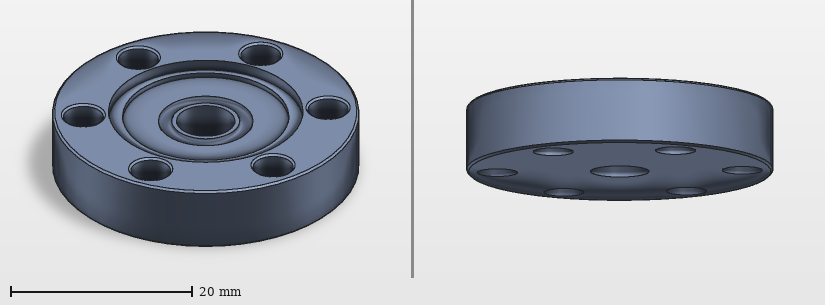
import cadquery as cq
import math

flange_diameter = 33.78
flange_thickness = 7.23
rim_chamfer = 0.25

recess_radius = 10.7
recess_depth = 1.25
knife_radius = 9.15
knife_angle = 20.0

bore_radius = 3.2
groove_inner_radius = 3.75
groove_outer_radius = 5.2

bolt_count = 6
bolt_circle_radius = 13.5
bolt_hole_radius = 2.2
bolt_chamfer = 0.25

flange_radius = flange_diameter / 2
knife_height = (recess_radius - knife_radius) * math.tan(math.radians(knife_angle))
floor_z = flange_thickness - recess_depth


def flange_body():
    """Revolve the disc, bore, recess, knife edge and groove as one profile."""
    groove_radius = (groove_outer_radius - groove_inner_radius) / 2
    groove_middle = groove_inner_radius + groove_radius
    profile = (
        cq.Workplane("XZ")
        .moveTo(bore_radius, 0)
        .lineTo(flange_radius - rim_chamfer, 0)
        .lineTo(flange_radius, rim_chamfer)
        .lineTo(flange_radius, flange_thickness - rim_chamfer)
        .lineTo(flange_radius - rim_chamfer, flange_thickness)
        .lineTo(recess_radius, flange_thickness)
        .lineTo(recess_radius, floor_z)
        .lineTo(knife_radius, floor_z + knife_height)
        .lineTo(knife_radius, floor_z)
        .lineTo(groove_outer_radius, floor_z)
        .threePointArc((groove_middle, floor_z - groove_radius), (groove_inner_radius, floor_z))
        .lineTo(bore_radius, floor_z)
        .close()
    )
    return profile.revolve(360, (0, 0), (0, 1))


def bolt_hole_cutter():
    """Through hole with a chamfered mouth at the top face, on the flange axis."""
    mouth_radius = bolt_hole_radius + bolt_chamfer
    profile = (
        cq.Workplane("XZ")
        .lineTo(bolt_hole_radius, 0)
        .lineTo(bolt_hole_radius, flange_thickness - bolt_chamfer)
        .lineTo(mouth_radius, flange_thickness)
        .lineTo(0, flange_thickness)
        .close()
    )
    return profile.revolve(360, (0, 0), (0, 1))


result = flange_body()
for index in range(bolt_count):
    angle = math.radians(90 + index * 360 / bolt_count)
    bolt_x = bolt_circle_radius * math.cos(angle)
    bolt_y = bolt_circle_radius * math.sin(angle)
    result = result.cut(bolt_hole_cutter().translate((bolt_x, bolt_y, 0)))